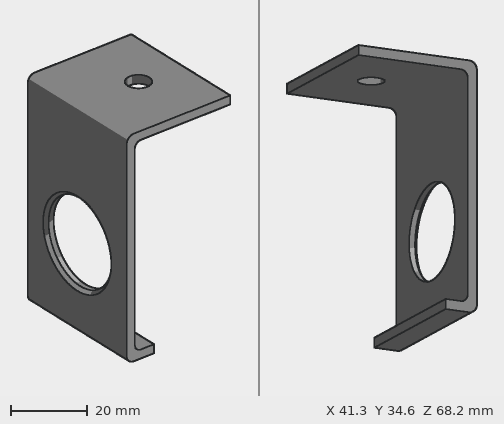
import cadquery as cq

width = 41.3
depth = 34.6
height = 68.25
thickness = 2.7
lip_depth = 9.15

inner_radius = 2.05
outer_radius = 2.4

opening_diameter = 26.35
opening_chamfer = 1.0
opening_height = 27.0

mount_diameter = 7.1
mount_y = 20.5


def bracket_blank():
    """C-shaped side profile extruded across the width, with rounded bends."""
    profile = [
        (0, 0),
        (lip_depth, 0),
        (lip_depth, thickness),
        (thickness, thickness),
        (thickness, height - thickness),
        (depth, height - thickness),
        (depth, height),
        (0, height),
    ]
    blank = cq.Workplane("YZ").polyline(profile).close().extrude(width / 2, both=True)
    blank = blank.edges("|X and <Y").fillet(outer_radius)
    inner_corners = cq.selectors.BoxSelector(
        (-width, thickness / 2, thickness / 2),
        (width, thickness * 1.5, height - thickness / 2),
    )
    return blank.edges("|X").edges(inner_corners).fillet(inner_radius)


def wall_opening():
    """Cutter for the round opening, widened by a chamfer at the front face."""
    opening_radius = opening_diameter / 2
    mouth_radius = opening_radius + opening_chamfer
    half_section = [
        (0, 0),
        (mouth_radius, 0),
        (opening_radius, opening_chamfer),
        (opening_radius, thickness),
        (0, thickness),
    ]
    cutter = cq.Workplane("XY").polyline(half_section).close().revolve(360, (0, 0), (0, 1))
    return cutter.translate((0, 0, opening_height))


def mount_hole():
    """Cutter for the plain hole through the top flange."""
    flange_underside = cq.Workplane("XY", origin=(0, mount_y, height - thickness))
    return flange_underside.circle(mount_diameter / 2).extrude(thickness)


result = bracket_blank().cut(wall_opening()).cut(mount_hole())